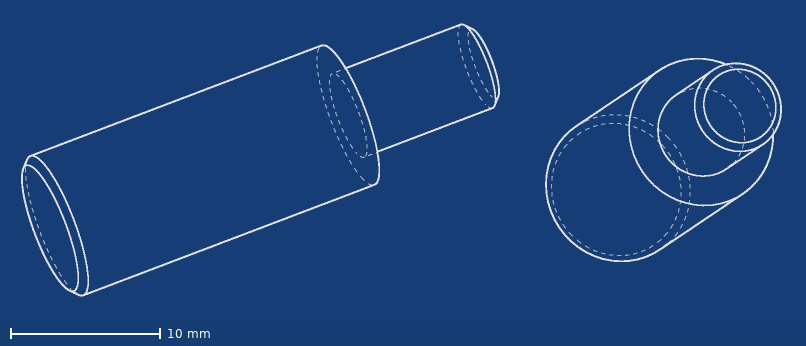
import cadquery as cq

body_diameter = 10.0
body_length = 22.0
pin_diameter = 6.0
pin_length = 10.0
end_chamfer = 0.5


def make_body():
    """Large cylinder along +Y, chamfered on its free end at Y = 0."""
    body = cq.Workplane("XZ").circle(body_diameter / 2).extrude(-body_length)
    return body.faces("<Y").chamfer(end_chamfer)


def make_pin():
    """Thin coaxial pin on the far end of the body, chamfered at its tip."""
    pin = (
        cq.Workplane("XZ", origin=(0, body_length, 0))
        .circle(pin_diameter / 2)
        .extrude(-pin_length)
    )
    return pin.faces(">Y").chamfer(end_chamfer)


result = make_body().union(make_pin())